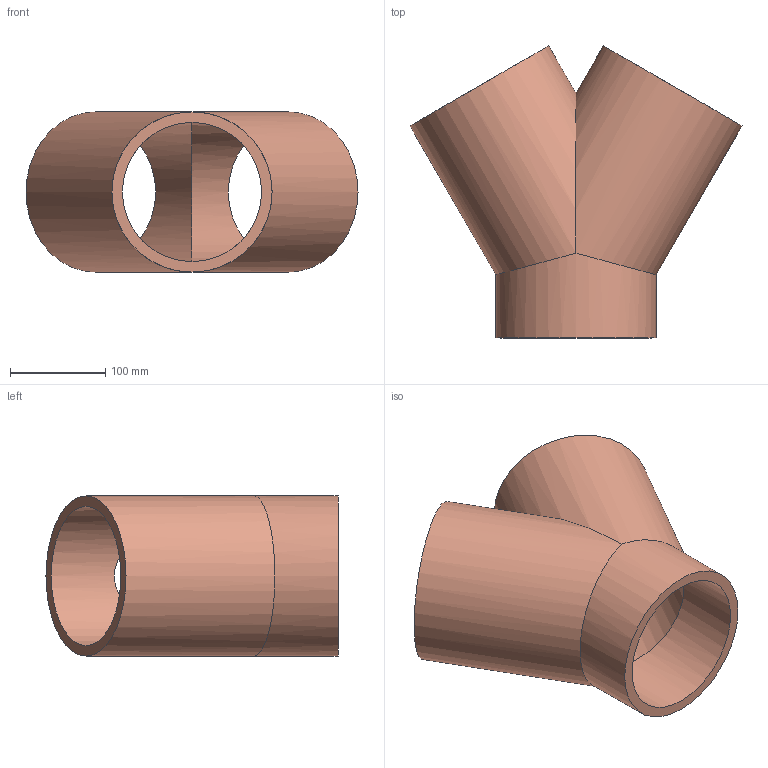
import cadquery as cq

OUTER_DIAMETER = 168.28
INNER_DIAMETER = 146.33
INLET_LENGTH = 88.9
BRANCH_LENGTH = 203.2
BRANCH_ANGLE = 30.0


def straight_cylinder(diameter, length):
    """Cylinder from the origin along +Y."""
    return cq.Workplane("XZ").circle(diameter / 2).extrude(-length)


def turned_cylinder(diameter, length, angle):
    """Cylinder from the origin, its axis turned about Z by the angle from +Y."""
    return straight_cylinder(diameter, length).rotate((0, 0, 0), (0, 0, 1), angle)


def y_body(diameter):
    """Solid Y of three equal cylinders, which meet along planar mitre curves."""
    body = turned_cylinder(diameter, INLET_LENGTH, 180)
    for angle in (-BRANCH_ANGLE, BRANCH_ANGLE):
        body = body.union(turned_cylinder(diameter, BRANCH_LENGTH, angle))
    return body


result = y_body(OUTER_DIAMETER).cut(y_body(INNER_DIAMETER))